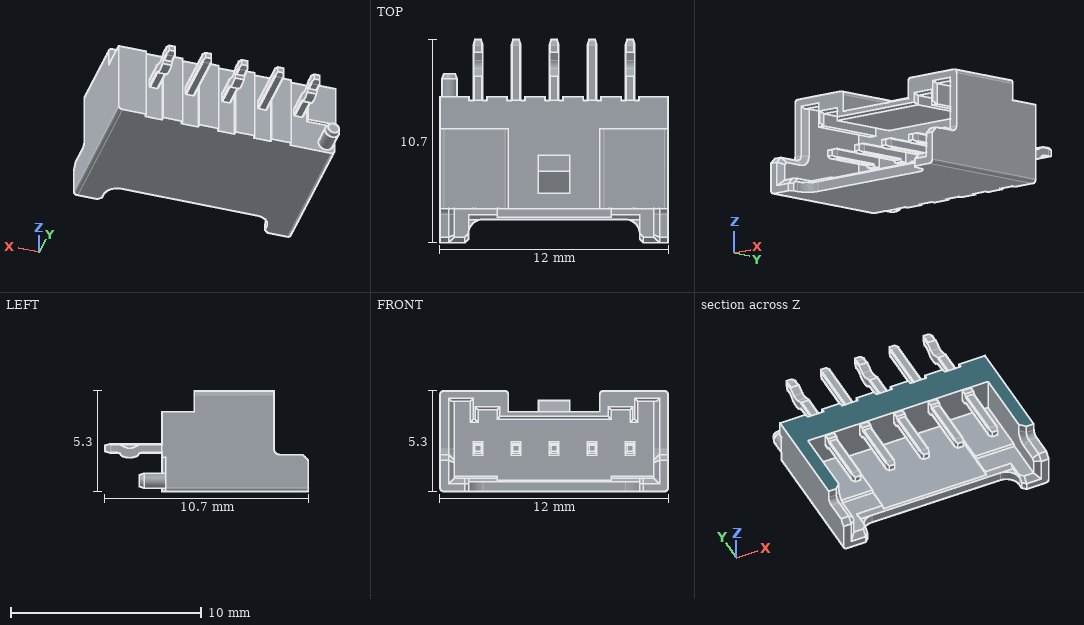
import cadquery as cq
import math


WIDTH = 12.0
HEIGHT = 5.3
DEPTH = 7.7
HALF_WIDTH = WIDTH / 2
ROOF_TOP = 4.2
HOOD_FRONT = 1.8
HOOD_BACK = 6.0
HOOD_GAP_HALF = 2.4
LEG_TOP = 1.95
LEG_BEVEL = 0.3
LEG_FILLET = 0.3
OUTER_FILLET = 0.2

CAVITY_BACK = 5.8
CAVITY_HALF = 5.25
FLOOR = 0.7
CHANNEL_FLOOR = 0.6
CHANNEL_HALF = 3.0
REAR_FLOOR = 0.8
FLOOR_RAMP_Y = 2.6
SIDE_CEILING = 4.75
INNER_CEILING = 4.3
ROOF_CEILING = 3.8
RIB_OUTER = 4.4
RIB_INNER = 4.0
RIB_BOTTOM = 3.65
SIDE_LEAD_IN = 0.3
HOOD_LEAD_IN = 0.15

LEG_INNER = 4.5
LIP_FRONT = 1.23
LIP_TOP = 0.525
LIP_BEVEL_LENGTH = 0.26
LEG_GAP_RADIUS = 0.75
LEG_CORNER = 0.2

LATCH_HALF = 0.825
LATCH_TOP = 4.8
LATCH_BACK = 4.6
LATCH_CREST = 3.78
LATCH_FRONT = 2.6

REAR_RECESS = 0.2
REAR_FACE = DEPTH - REAR_RECESS
PIN_NOTCH_WIDTH = 0.93
PEG_RECESS_HEIGHT = 1.8
PEG_X = -5.5
PEG_Z = 0.57
PEG_DIAMETER = 0.8
PEG_END = 8.9
PEG_TAPER_LENGTH = 0.27
PEG_TAPER_INSET = 0.1

PIN_COUNT = 5
PIN_PITCH = 2.0
PIN_SIZE = 0.5
PIN_HALF = PIN_SIZE / 2
PIN_Z = 2.27
PIN_FRONT = 2.4
PIN_BACK = 10.7
PIN_EDGE_BEVEL = 0.05
PIN_TIP_LENGTH = 0.3
PIN_TIP_INSET = 0.09
PIN_ROOT_HEIGHT = 0.7
PIN_ROOT_LENGTH = 0.4
PIN_ROOT_RAMP = 0.1

KINK_Y = 9.4
KINK_HALF_LENGTH = 0.64
KINK_BEND_HALF = 0.2
KINK_ANGLE = 24.5

PIN_POSITIONS = [(i - (PIN_COUNT - 1) / 2) * PIN_PITCH for i in range(PIN_COUNT)]


def box(x0, x1, y0, y1, z0, z1):
    """Box between opposite corners."""
    return cq.Workplane("XY").box(x1 - x0, y1 - y0, z1 - z0, centered=False).translate((x0, y0, z0))


def side_prism(yz_points, x0, x1):
    """Prism with a polygonal YZ section between two X positions."""
    return cq.Workplane("YZ").polyline(yz_points).close().extrude(x1 - x0).translate((x0, 0, 0))


def front_prism(xz_points, y0, y1):
    """Prism with a polygonal XZ section between two Y positions."""
    return cq.Workplane("XZ").polyline(xz_points).close().extrude(y0 - y1).translate((0, y0, 0))


def both_sides(solid):
    """The solid together with its mirror image across X = 0."""
    return solid.union(solid.mirror("YZ"))


def edges_where(body, test):
    """Workplane holding the edges of the body whose bounding box passes the test."""
    chosen = [e for e in body.edges().vals() if test(e.BoundingBox())]
    return body.newObject(chosen)


def make_outer():
    profile = [
        (0, 0),
        (0, LEG_TOP - LEG_BEVEL),
        (LEG_BEVEL, LEG_TOP),
        (HOOD_FRONT, LEG_TOP),
        (HOOD_FRONT, HEIGHT),
        (HOOD_BACK, HEIGHT),
        (HOOD_BACK, ROOF_TOP),
        (DEPTH, ROOF_TOP),
        (DEPTH, 0),
    ]
    outer = side_prism(profile, -HALF_WIDTH, HALF_WIDTH)
    outer = outer.cut(box(-HOOD_GAP_HALF, HOOD_GAP_HALF, 0, DEPTH, ROOF_TOP, HEIGHT))
    outer = outer.faces(">Z").edges("|Y").fillet(OUTER_FILLET)
    outer = outer.faces("<Z").edges("|Y").fillet(OUTER_FILLET)
    leg_corner = cq.selectors.BoxSelector(
        (-WIDTH, HOOD_FRONT - LEG_FILLET, LEG_TOP - LEG_FILLET),
        (WIDTH, HOOD_FRONT + LEG_FILLET, LEG_TOP + LEG_FILLET),
    )
    return outer.edges(leg_corner).edges("|X").fillet(LEG_FILLET)


def make_cavity():
    right_half = [
        (CHANNEL_HALF, CHANNEL_FLOOR),
        (CHANNEL_HALF, FLOOR),
        (CAVITY_HALF, FLOOR),
        (CAVITY_HALF, SIDE_CEILING),
        (RIB_OUTER, SIDE_CEILING),
        (RIB_OUTER, RIB_BOTTOM),
        (RIB_INNER, RIB_BOTTOM),
        (RIB_INNER, INNER_CEILING),
        (CHANNEL_HALF, INNER_CEILING),
        (CHANNEL_HALF, ROOF_CEILING),
    ]
    left_half = [(-x, z) for x, z in reversed(right_half)]
    cavity = front_prism(right_half + left_half, 0, CAVITY_BACK)
    rise = REAR_FLOOR - FLOOR
    rear_floor = side_prism(
        [
            (FLOOR_RAMP_Y, FLOOR),
            (FLOOR_RAMP_Y + rise, REAR_FLOOR),
            (CAVITY_BACK, REAR_FLOOR),
            (CAVITY_BACK, FLOOR),
        ],
        CHANNEL_HALF,
        CAVITY_HALF,
    )
    return cavity.cut(both_sides(rear_floor))


def make_leg_gap():
    """Opening between the legs, rounded at the back, with a sloped lip above it."""
    through = box(-LEG_INNER, LEG_INNER, 0, LIP_FRONT, 0, FLOOR)
    through = through.faces(">Y").edges("|Z").fillet(LEG_GAP_RADIUS)
    lip = side_prism(
        [
            (0, LIP_TOP),
            (LIP_FRONT, LIP_TOP),
            (LIP_FRONT + LIP_BEVEL_LENGTH, FLOOR),
            (0, FLOOR),
        ],
        -LEG_INNER,
        LEG_INNER,
    )
    corner = (
        cq.Workplane("XY")
        .polyline([(LEG_INNER, 0), (LEG_INNER + LEG_CORNER, 0), (LEG_INNER, LEG_CORNER)])
        .close()
        .extrude(FLOOR)
    )
    return through.union(lip).union(both_sides(corner))


def make_leg_corner_bevel():
    """Cutter that carries the lead-in of the leg floor round the cut-off corner of the right leg."""
    corner_plane = cq.Plane(
        origin=(LEG_INNER + LEG_CORNER, 0, FLOOR - SIDE_LEAD_IN),
        xDir=(1, 1, 0),
        normal=(1, -1, 0),
    )
    run = SIDE_LEAD_IN / math.sqrt(2)
    section = [(0, 0), (run, SIDE_LEAD_IN), (0, SIDE_LEAD_IN)]
    return cq.Workplane(corner_plane).polyline(section).close().extrude(2 * SIDE_LEAD_IN, both=True)


def add_lead_ins(housing):
    """Bevel the mouth of the cavity: narrow under the hood, wide along the walls and legs."""
    tol = 0.01

    def on_hood_mouth(b):
        at_front = abs(b.ymin - HOOD_FRONT) < tol and abs(b.ymax - HOOD_FRONT) < tol
        inside = b.xmin > -CAVITY_HALF - tol and b.xmax < CAVITY_HALF + tol
        at_top = b.zmin > RIB_BOTTOM - tol and b.zmax < SIDE_CEILING + tol
        within_gap = b.xmin > -HOOD_GAP_HALF - tol and b.xmax < HOOD_GAP_HALF + tol
        return at_front and inside and at_top and not within_gap

    def on_wall_mouth(b):
        at_wall = abs(abs(b.center.x) - CAVITY_HALF) < tol and b.xlen < tol
        return at_wall and b.ymax < HOOD_FRONT + tol and b.zmax > FLOOR + tol

    def on_leg_floor(b):
        at_floor = abs(b.zmin - FLOOR) < tol and b.zlen < tol
        return at_floor and b.ymax < LEG_CORNER + tol and abs(b.center.x) > LEG_INNER + LEG_CORNER

    housing = edges_where(housing, on_hood_mouth).chamfer(HOOD_LEAD_IN)
    housing = edges_where(housing, lambda b: on_wall_mouth(b) or on_leg_floor(b)).chamfer(SIDE_LEAD_IN)
    return housing.cut(both_sides(make_leg_corner_bevel()))


def make_latch():
    return side_prism(
        [
            (LATCH_FRONT, ROOF_TOP),
            (LATCH_CREST, LATCH_TOP),
            (LATCH_BACK, LATCH_TOP),
            (LATCH_BACK, ROOF_TOP),
        ],
        -LATCH_HALF,
        LATCH_HALF,
    )


def cut_rear_face(housing):
    """Notch the rear face at every pin and recess the corner around the peg."""
    for x in PIN_POSITIONS:
        half = PIN_NOTCH_WIDTH / 2
        housing = housing.cut(box(x - half, x + half, REAR_FACE, DEPTH, 0, ROOF_TOP))
    return housing.cut(box(-HALF_WIDTH, PIN_POSITIONS[0], REAR_FACE, DEPTH, 0, PEG_RECESS_HEIGHT))


def make_peg():
    radius = PEG_DIAMETER / 2
    tip_radius = radius - PEG_TAPER_INSET
    half_section = [
        (0, REAR_FACE),
        (radius, REAR_FACE),
        (radius, PEG_END - PEG_TAPER_LENGTH),
        (tip_radius, PEG_END),
        (0, PEG_END),
    ]
    peg = cq.Workplane("XY").polyline(half_section).close().revolve(360, (0, 0, 0), (0, 1, 0))
    return peg.translate((PEG_X, 0, PEG_Z))


def make_pin_tip(y_base, direction):
    """Tapered end of a pin, pointing along +Y or -Y."""
    end_size = PIN_SIZE - 2 * PIN_TIP_INSET
    tip = (
        cq.Workplane("XY")
        .rect(PIN_SIZE, PIN_SIZE)
        .workplane(offset=PIN_TIP_LENGTH)
        .rect(end_size, end_size)
        .loft()
    )
    return tip.rotate((0, 0, 0), (1, 0, 0), -90 * direction).translate((0, y_base, 0))


def make_kink():
    """Stretch of pin that dips down through two slopes joined by an arc, at constant thickness."""
    angle = math.radians(KINK_ANGLE)
    slope_run = KINK_HALF_LENGTH - KINK_BEND_HALF
    top_slope_drop = slope_run * math.tan(angle)
    depth = top_slope_drop + KINK_BEND_HALF * math.tan(angle / 2)
    start_shift = PIN_SIZE * math.tan(angle / 2)
    bend_shift = PIN_SIZE * math.sin(angle)
    bend_drop = PIN_SIZE * math.cos(angle)
    kink = (
        cq.Workplane("YZ")
        .moveTo(-KINK_HALF_LENGTH, PIN_HALF)
        .lineTo(-KINK_BEND_HALF, PIN_HALF - top_slope_drop)
        .threePointArc((0, PIN_HALF - depth), (KINK_BEND_HALF, PIN_HALF - top_slope_drop))
        .lineTo(KINK_HALF_LENGTH, PIN_HALF)
        .lineTo(KINK_HALF_LENGTH, -PIN_HALF)
        .lineTo(KINK_HALF_LENGTH - start_shift, -PIN_HALF)
        .lineTo(KINK_BEND_HALF + bend_shift, PIN_HALF - top_slope_drop - bend_drop)
        .threePointArc(
            (0, -PIN_HALF - depth),
            (-KINK_BEND_HALF - bend_shift, PIN_HALF - top_slope_drop - bend_drop),
        )
        .lineTo(-KINK_HALF_LENGTH + start_shift, -PIN_HALF)
        .lineTo(-KINK_HALF_LENGTH, -PIN_HALF)
        .close()
        .extrude(PIN_HALF, both=True)
    )
    return kink.translate((0, KINK_Y, 0))


def make_pin_bar(y0, y1):
    """Straight stretch of pin with its long edges bevelled."""
    bar = box(-PIN_HALF, PIN_HALF, y0, y1, -PIN_HALF, PIN_HALF)
    return bar.edges("|Y").chamfer(PIN_EDGE_BEVEL)


def make_pin(kinked):
    """One pin on the Y axis."""
    bar_front = PIN_FRONT + PIN_TIP_LENGTH
    bar_back = PIN_BACK - PIN_TIP_LENGTH
    if kinked:
        pin = make_pin_bar(bar_front, KINK_Y - KINK_HALF_LENGTH)
        pin = pin.union(make_kink())
        pin = pin.union(make_pin_bar(KINK_Y + KINK_HALF_LENGTH, bar_back))
    else:
        pin = make_pin_bar(bar_front, bar_back)
    pin = pin.union(make_pin_tip(bar_front, -1)).union(make_pin_tip(bar_back, 1))

    root_half = PIN_ROOT_HEIGHT / 2
    root_front = CAVITY_BACK - PIN_ROOT_LENGTH
    root = side_prism(
        [
            (root_front, -PIN_HALF),
            (root_front + PIN_ROOT_RAMP, -root_half),
            (CAVITY_BACK, -root_half),
            (CAVITY_BACK, root_half),
            (root_front + PIN_ROOT_RAMP, root_half),
            (root_front, PIN_HALF),
        ],
        -PIN_HALF,
        PIN_HALF,
    )
    return pin.union(root)


def make_housing():
    housing = make_outer().cut(make_cavity()).cut(make_leg_gap())
    housing = add_lead_ins(housing)
    housing = cut_rear_face(housing)
    return housing.union(make_latch())


result = make_housing().union(make_peg())
for index, pin_x in enumerate(PIN_POSITIONS):
    result = result.union(make_pin(index % 2 == 0).translate((pin_x, 0, PIN_Z)))